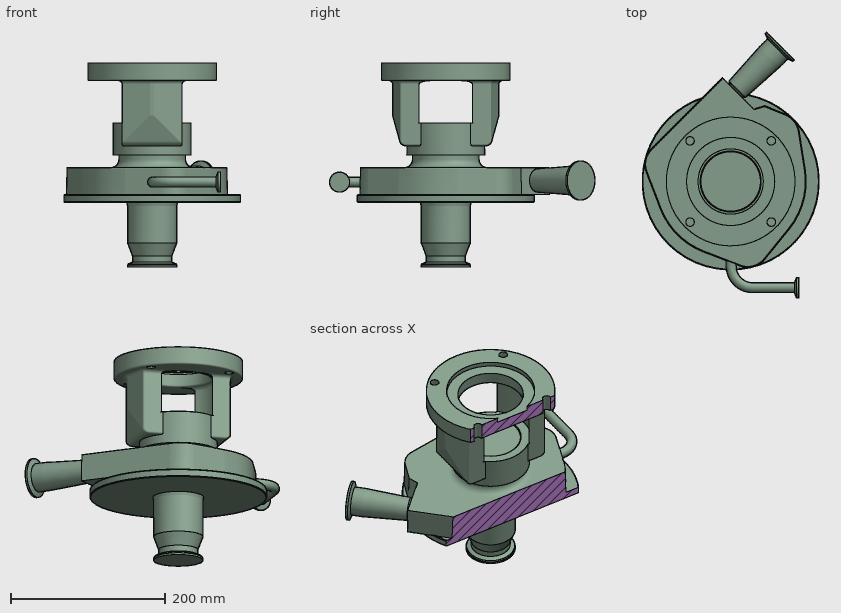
import cadquery as cq
import math

INLET_NECK_BOTTOM = 6.5
INLET_CONE_BOTTOM = 14.0
INLET_CONE_TOP = 31.5
INLET_FLARE_BOTTOM = 79.3
PLATE_BOTTOM = 84.0
PLATE_TOP = 94.0
VOLUTE_TOP = 129.2
COLLAR_BOTTOM = 145.5
COLLAR_TOP = 187.0
FLANGE_BOTTOM = 242.0
FLANGE_TOP = 265.0

INLET_RADIUS = 32.0
INLET_NECK_RADIUS = 25.5
INLET_FLARE_RADIUS = 33.0
INLET_RIM = 4.0
INLET_RIM_CHAMFER = 1.7

PLATE_RADIUS = 230.0 / 2
PLATE_CHAMFER = 1.0

BASE_RADIUS = 97.2
LOBE_RADIUS = 27.5
LOBE_ANGLES = (45, 165, 285)
WALL_ANGLE = 36
LOBE_DISTANCE = (BASE_RADIUS - LOBE_RADIUS) / math.cos(math.radians(WALL_ANGLE))
WALL_DRAFT = 1.5
VOLUTE_EDGE_HEIGHT = 2.5
VOLUTE_EDGE_ANGLE = 8

DISCHARGE_ANGLE = 45
OUTLET_OFFSET = 78.5
OUTLET_WALL_NORMAL = DISCHARGE_ANGLE + 90
OUTLET_FACE = 87.5
OUTLET_INNER_CORNER = 44.0
OUTLET_TRIM = 0.7
SHOULDER = (44.0, 97.5)
SHOULDER_NORMAL = 68.5
OUTLET_OVERLAP = 3.5
OUTLET_HEIGHT = 112.5
OUTLET_START_RADIUS = 15.0
OUTLET_END_RADIUS = 18.5
OUTLET_CONE_START = 90.3
OUTLET_NECK_RADIUS = 10.5
OUTLET_CONE_END = 149.5
OUTLET_END = 170.0
OUTLET_RIM_RADIUS = 25.5
OUTLET_RIM = 2.8
OUTLET_RIM_TAPER = 2.5

DRAIN_RADIUS = 6.5
DRAIN_X = 0.7
DRAIN_HEIGHT = 110.3
DRAIN_BEND_Y = -110.0
DRAIN_BEND_RADIUS = 28.0
DRAIN_START_Y = -93.0
DRAIN_END_X = 88.5
DRAIN_RIM_RADIUS = 13.0
DRAIN_RIM = 3.5
DRAIN_RIM_TAPER = 2.5

NECK_RADIUS = 43.5
NECK_FILLET = 10.5
COLLAR_RADIUS = 50.5
RECESS_RADIUS = 39.5
RECESS_DEPTH = 1.0

LEG_HALF_WIDTH = 39.0
LEG_RIDGE_HALF_WIDTH = 2.8
LEG_RIDGE_Y = 69.0
LEG_SLOPE = 15.5
LEG_BOTTOM = 157.0
LEG_BEVEL_TOP = 196.0
LEG_INNER_RADIUS = 52.0
LEG_SIDE_FILLET = 2.5
LEG_BOTTOM_FILLET = 8.5
LEG_ROOT_FILLET = 4.8

FLANGE_RADIUS = 167.0 / 2
FLANGE_EDGE_FILLET = 2.0
SPIGOT_RADIUS = 57.2
SPIGOT_DEPTH = 6.2
FLANGE_BORE_RADIUS = 42.5
BOLT_SPACING = 105.5
BOLT_HOLE_RADIUS = 5.5

SELECTION_MARGIN = 0.5


def on_circle(radius, angle):
    """Point on a circle about the pump axis, angle in degrees."""
    turn = math.radians(angle)
    return (radius * math.cos(turn), radius * math.sin(turn))


def in_outlet_frame(along, beside):
    """Point given along the discharge direction and to its left."""
    along_x, along_y = on_circle(along, DISCHARGE_ANGLE)
    beside_x, beside_y = on_circle(beside, DISCHARGE_ANGLE + 90)
    return (along_x + beside_x, along_y + beside_y)


def cylinder(radius, bottom, top):
    return cq.Workplane("XY").workplane(offset=bottom).circle(radius).extrude(top - bottom)


def make_inlet():
    profile = [
        (0, 0),
        (INLET_RADIUS, 0),
        (INLET_RADIUS, INLET_RIM - INLET_RIM_CHAMFER),
        (INLET_RADIUS - INLET_RIM_CHAMFER / 2, INLET_RIM),
        (INLET_NECK_RADIUS, INLET_NECK_BOTTOM),
        (INLET_NECK_RADIUS, INLET_CONE_BOTTOM),
        (INLET_RADIUS, INLET_CONE_TOP),
        (INLET_RADIUS, INLET_FLARE_BOTTOM),
        (INLET_FLARE_RADIUS, PLATE_BOTTOM),
        (0, PLATE_BOTTOM),
    ]
    return cq.Workplane("XZ").polyline(profile).close().revolve(360, (0, 0), (0, 1))


def make_plate():
    return cylinder(PLATE_RADIUS, PLATE_BOTTOM, PLATE_TOP).edges().chamfer(PLATE_CHAMFER)


def on_lobe(lobe, normal):
    """Point on a lobe's rounded tip where the wall faces along the given normal."""
    center_x, center_y = on_circle(LOBE_DISTANCE, lobe)
    tip_x, tip_y = on_circle(LOBE_RADIUS, normal)
    return (center_x + tip_x, center_y + tip_y)


def volute_outline(plane):
    """Volute outline, counter-clockwise from the outlet wall, with a trim allowance at the outlet face."""
    right_lobe, left_lobe, front_lobe = LOBE_ANGLES

    def tip(sketch, lobe, start, end):
        return sketch.threePointArc(on_lobe(lobe, (start + end) / 2), on_lobe(lobe, end))

    def side(sketch, lobe, next_lobe):
        start = lobe + WALL_ANGLE
        end = next_lobe - WALL_ANGLE
        return (
            sketch.lineTo(*on_circle(BASE_RADIUS, start))
            .threePointArc(on_circle(BASE_RADIUS, (start + end) / 2), on_circle(BASE_RADIUS, end))
            .lineTo(*on_lobe(next_lobe, end))
        )

    wall_angle = math.radians(OUTLET_WALL_NORMAL - left_lobe)
    wall_offset = LOBE_RADIUS + LOBE_DISTANCE * math.cos(wall_angle)
    sketch = plane.moveTo(*in_outlet_frame(OUTLET_FACE + OUTLET_TRIM, wall_offset))
    sketch = sketch.lineTo(*on_lobe(left_lobe, OUTLET_WALL_NORMAL))
    sketch = tip(sketch, left_lobe, OUTLET_WALL_NORMAL, left_lobe + WALL_ANGLE)
    sketch = side(sketch, left_lobe, front_lobe)
    sketch = tip(sketch, front_lobe, front_lobe - WALL_ANGLE, front_lobe + WALL_ANGLE)
    sketch = side(sketch, front_lobe, right_lobe + 360)
    sketch = tip(sketch, right_lobe, right_lobe - WALL_ANGLE, SHOULDER_NORMAL)
    inner_corner = in_outlet_frame(OUTLET_FACE + OUTLET_TRIM, OUTLET_INNER_CORNER)
    return sketch.lineTo(*SHOULDER).lineTo(*inner_corner).close()


def make_volute():
    edge_bottom = VOLUTE_TOP - VOLUTE_EDGE_HEIGHT
    outline = volute_outline(cq.Workplane("XY").workplane(offset=edge_bottom))
    body = outline.extrude(PLATE_TOP - edge_bottom, taper=-WALL_DRAFT)
    outline = volute_outline(cq.Workplane("XY").workplane(offset=edge_bottom))
    body = body.union(outline.extrude(VOLUTE_EDGE_HEIGHT, taper=VOLUTE_EDGE_ANGLE))

    beyond_face = (
        cq.Workplane("XY")
        .box(PLATE_RADIUS, PLATE_RADIUS, VOLUTE_TOP, centered=False)
        .translate((OUTLET_FACE, OUTLET_INNER_CORNER, 0))
        .rotate((0, 0, 0), (0, 0, 1), DISCHARGE_ANGLE)
    )
    return body.cut(beyond_face)


def make_outlet():
    neck_start = OUTLET_FACE - OUTLET_OVERLAP
    rim_start = OUTLET_END - OUTLET_RIM
    profile = [
        (0, neck_start),
        (OUTLET_NECK_RADIUS, neck_start),
        (OUTLET_NECK_RADIUS, OUTLET_FACE),
        (OUTLET_START_RADIUS, OUTLET_CONE_START),
        (OUTLET_END_RADIUS, OUTLET_CONE_END),
        (OUTLET_END_RADIUS, rim_start - OUTLET_RIM_TAPER),
        (OUTLET_RIM_RADIUS, rim_start),
        (OUTLET_RIM_RADIUS, OUTLET_END),
        (0, OUTLET_END),
    ]
    nozzle = cq.Workplane("XY").polyline(profile).close().revolve(360, (0, 0), (0, 1))
    nozzle = nozzle.translate((-OUTLET_OFFSET, 0, OUTLET_HEIGHT))
    return nozzle.rotate((0, 0, 0), (0, 0, 1), DISCHARGE_ANGLE - 90)


def make_drain():
    bend_end_x = DRAIN_X + DRAIN_BEND_RADIUS
    end_y = DRAIN_BEND_Y - DRAIN_BEND_RADIUS
    bend_middle = DRAIN_BEND_RADIUS * math.sqrt(0.5)
    path = (
        cq.Workplane("XY", origin=(0, 0, DRAIN_HEIGHT))
        .moveTo(DRAIN_X, DRAIN_START_Y)
        .lineTo(DRAIN_X, DRAIN_BEND_Y)
        .threePointArc((bend_end_x - bend_middle, DRAIN_BEND_Y - bend_middle), (bend_end_x, end_y))
        .lineTo(DRAIN_END_X, end_y)
    )
    start = cq.Workplane("XZ", origin=(DRAIN_X, DRAIN_START_Y, DRAIN_HEIGHT))
    pipe = start.circle(DRAIN_RADIUS).sweep(path)
    rim_start = DRAIN_END_X - DRAIN_RIM
    profile = [
        (rim_start - DRAIN_RIM_TAPER, 0),
        (rim_start - DRAIN_RIM_TAPER, DRAIN_RADIUS),
        (rim_start, DRAIN_RIM_RADIUS),
        (DRAIN_END_X, DRAIN_RIM_RADIUS),
        (DRAIN_END_X, 0),
    ]
    ferrule = cq.Workplane("XY").polyline(profile).close().revolve(360, (0, 0), (1, 0))
    return pipe.union(ferrule.translate((0, end_y, DRAIN_HEIGHT)))


def make_collar():
    neck_foot = NECK_RADIUS + NECK_FILLET
    fillet_top = VOLUTE_TOP + NECK_FILLET
    fillet_rise = NECK_FILLET * math.sqrt(0.5)
    return (
        cq.Workplane("XZ")
        .moveTo(0, VOLUTE_TOP)
        .lineTo(neck_foot, VOLUTE_TOP)
        .threePointArc((neck_foot - fillet_rise, fillet_top - fillet_rise), (NECK_RADIUS, fillet_top))
        .lineTo(NECK_RADIUS, COLLAR_BOTTOM)
        .lineTo(COLLAR_RADIUS, COLLAR_BOTTOM)
        .lineTo(COLLAR_RADIUS, COLLAR_TOP)
        .lineTo(RECESS_RADIUS, COLLAR_TOP)
        .lineTo(RECESS_RADIUS - RECESS_DEPTH, COLLAR_TOP - RECESS_DEPTH)
        .lineTo(0, COLLAR_TOP - RECESS_DEPTH)
        .close()
        .revolve(360, (0, 0), (0, 1))
    )


def make_leg():
    """Leg on the +Y side: a ridged bar with a bevelled foot and a round inner face."""
    slope = math.tan(math.radians(LEG_SLOPE))
    side_y = LEG_RIDGE_Y - (LEG_HALF_WIDTH - LEG_RIDGE_HALF_WIDTH) * slope
    section = [
        (-LEG_HALF_WIDTH, 0),
        (LEG_HALF_WIDTH, 0),
        (LEG_HALF_WIDTH, side_y),
        (LEG_RIDGE_HALF_WIDTH, LEG_RIDGE_Y),
        (-LEG_RIDGE_HALF_WIDTH, LEG_RIDGE_Y),
        (-LEG_HALF_WIDTH, side_y),
    ]
    leg = (
        cq.Workplane("XY")
        .workplane(offset=LEG_BOTTOM)
        .polyline(section)
        .close()
        .extrude(FLANGE_BOTTOM - LEG_BOTTOM)
    )
    foot_y = LEG_RIDGE_Y - (LEG_BEVEL_TOP - LEG_BOTTOM) * slope
    bevel = (
        cq.Workplane("YZ")
        .polyline([(LEG_RIDGE_Y, LEG_BEVEL_TOP), (LEG_RIDGE_Y, LEG_BOTTOM), (foot_y, LEG_BOTTOM)])
        .close()
        .extrude(LEG_HALF_WIDTH, both=True)
    )
    leg = leg.cut(bevel)
    leg = leg.faces("<Z").edges(">Y").fillet(LEG_BOTTOM_FILLET)
    leg = leg.edges("|Z").edges(">X or <X").edges(">Y").fillet(LEG_SIDE_FILLET)
    leg = leg.faces("<Z").edges("|Y").fillet(LEG_SIDE_FILLET)
    bore = cylinder(LEG_INNER_RADIUS, COLLAR_TOP, FLANGE_BOTTOM)
    core = cylinder(RECESS_RADIUS, LEG_BOTTOM, COLLAR_TOP)
    return leg.cut(bore).cut(core)


def make_flange():
    disc = cylinder(FLANGE_RADIUS, FLANGE_BOTTOM, FLANGE_TOP)
    return disc.faces("<Z").edges().fillet(FLANGE_EDGE_FILLET)


def flange_underside(reach):
    """Selector for the edges on the flange underside that lie within reach of the axis along X and Y."""
    half_side = reach + SELECTION_MARGIN
    return cq.selectors.BoxSelector(
        (-half_side, -half_side, FLANGE_BOTTOM - SELECTION_MARGIN),
        (half_side, half_side, FLANGE_BOTTOM + SELECTION_MARGIN),
        boundingbox=True,
    )


def make_lantern():
    """Motor flange carried by two opposite legs, with filleted roots."""
    leg = make_leg()
    lantern = make_flange().union(leg).union(leg.rotate((0, 0, 0), (0, 0, 1), 180))
    lantern = lantern.edges(flange_underside(LEG_RIDGE_Y)).fillet(LEG_ROOT_FILLET)
    spigot_bottom = FLANGE_TOP - SPIGOT_DEPTH
    bolts = (
        cq.Workplane("XY")
        .workplane(offset=FLANGE_BOTTOM)
        .rect(BOLT_SPACING, BOLT_SPACING, forConstruction=True)
        .vertices()
        .circle(BOLT_HOLE_RADIUS)
        .extrude(FLANGE_TOP - FLANGE_BOTTOM)
    )
    lantern = (
        lantern.cut(cylinder(FLANGE_BORE_RADIUS, FLANGE_BOTTOM, FLANGE_TOP))
        .cut(cylinder(SPIGOT_RADIUS, spigot_bottom, FLANGE_TOP))
        .cut(bolts)
    )
    return lantern.edges(flange_underside(FLANGE_BORE_RADIUS)).fillet(FLANGE_EDGE_FILLET)


result = (
    make_inlet()
    .union(make_plate())
    .union(make_volute())
    .union(make_outlet())
    .union(make_drain())
    .union(make_collar())
    .union(make_lantern())
)